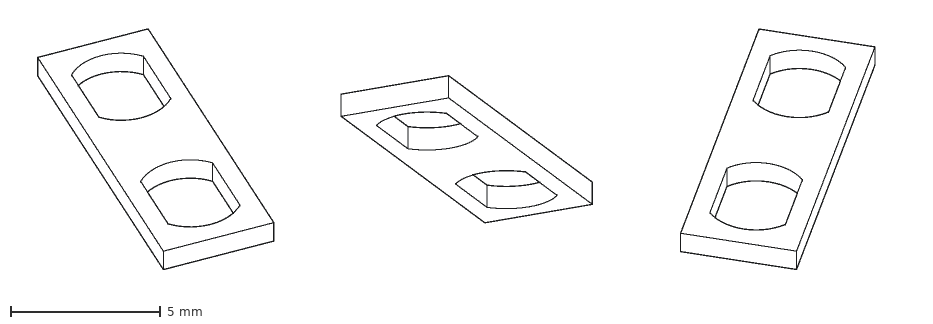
import cadquery as cq

length = 11.1
width = 4.0
thickness = 0.8

opening_diameter = 3.55
opening_height = 2.6
opening_spacing = 6.1


def opening_cutter(center_x):
    """Through cutter shaped as a round with flats facing +Y and -Y."""
    round_part = cq.Workplane("XY").circle(opening_diameter / 2).extrude(thickness)
    flats = cq.Workplane("XY").rect(opening_diameter, opening_height).extrude(thickness)
    return round_part.intersect(flats).translate((center_x, 0, 0))


result = cq.Workplane("XY").rect(length, width).extrude(thickness)
for side in (-1, 1):
    result = result.cut(opening_cutter(side * opening_spacing / 2))